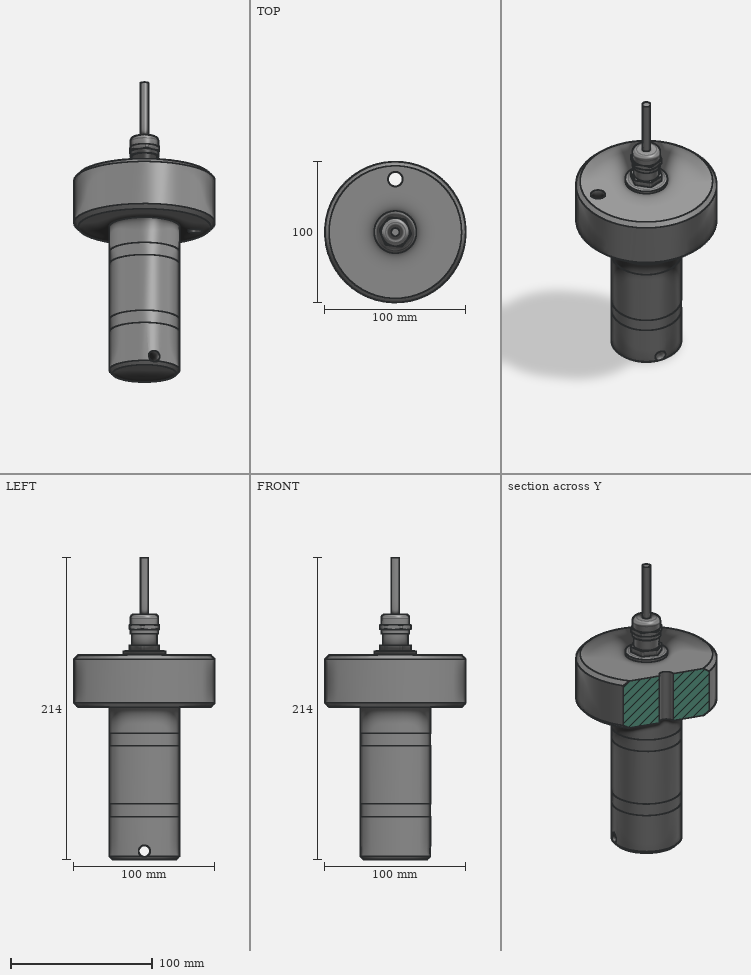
import cadquery as cq
import math


STEM_DIAMETER = 50.0
STEM_LENGTH = 108.0
STEM_CHAMFER = 2.5
FLANGE_DIAMETER = 100.0
FLANGE_THICKNESS = 37.0
FLANGE_CHAMFER = 3.0
FLANGE_TOP = STEM_LENGTH + FLANGE_THICKNESS

MOUNTING_HOLE_DIAMETER = 10.2
MOUNTING_HOLE_OFFSET = 37.5
CROSS_HOLE_DIAMETER = 8.0
CROSS_HOLE_HEIGHT = 6.0

BAND_DIAMETER = 49.8
BAND_WIDTH = 9.0
BAND_BASES = (30.5, 80.5)

HEX_ACROSS_FLATS = 20.0
HEX_ACROSS_CORNERS = HEX_ACROSS_FLATS / math.cos(math.radians(30))
HEX_CORNER_RADIUS = 2.0
HEX_TURN = 52.0

SEAT_DIAMETER = 25.0
SEAT_HEIGHT = 0.5
RIM_DIAMETER = 30.0
RIM_TOP = 3.0
RIM_CHAMFER_WIDTH = 2.0
RIM_CHAMFER_HEIGHT = 0.5
BODY_HEX_HEIGHT = 4.0
NECK_DIAMETER = 18.0
NECK_TOP = 15.0

NUT_BASE = FLANGE_TOP + NECK_TOP
NUT_DIAMETER = 19.98
NUT_HEIGHT = 14.0
NUT_TOP_DIAMETER = 14.16
NUT_EDGE_RADIUS = (NUT_DIAMETER - NUT_TOP_DIAMETER) / 2
NUT_HEX_BASE = NUT_BASE + 3.0
NUT_HEX_HEIGHT = 3.5
HEX_BEVEL_ANGLE = 20.0

CABLE_DIAMETER = 5.8
CABLE_TOP = 214.0


def cylinder(diameter, base, height):
    return cq.Workplane("XY").workplane(offset=base).circle(diameter / 2).extrude(height)


def hexagon(base, height):
    """Hexagonal prism with rounded corners."""
    prism = cq.Workplane("XY").workplane(offset=base).polygon(6, HEX_ACROSS_CORNERS).extrude(height)
    prism = prism.edges("|Z").fillet(HEX_CORNER_RADIUS)
    return prism.rotate((0, 0, 0), (0, 0, 1), HEX_TURN)


def bevel_envelope(base, height):
    """Round disc, coned at both ends, that bevels the corners of a hexagon."""
    flat_radius = HEX_ACROSS_FLATS / 2
    corner_radius = HEX_ACROSS_CORNERS / 2
    drop = (corner_radius - flat_radius) * math.tan(math.radians(HEX_BEVEL_ANGLE))
    return (
        cq.Workplane("XZ")
        .moveTo(0, base)
        .lineTo(flat_radius, base)
        .lineTo(corner_radius, base + drop)
        .lineTo(corner_radius, base + height - drop)
        .lineTo(flat_radius, base + height)
        .lineTo(0, base + height)
        .close()
        .revolve(360, (0, 0, 0), (0, 1, 0))
    )


def band_recess(base):
    """Thin ring of material removed from the stem."""
    return cylinder(STEM_DIAMETER, base, BAND_WIDTH).cut(cylinder(BAND_DIAMETER, base, BAND_WIDTH))


def mounting_hole():
    hole = cylinder(MOUNTING_HOLE_DIAMETER, STEM_LENGTH, FLANGE_THICKNESS)
    return hole.translate((0, MOUNTING_HOLE_OFFSET, 0))


def cross_hole():
    """Hole along X through the lower end of the stem."""
    profile = cq.Workplane("YZ").center(0, CROSS_HOLE_HEIGHT).circle(CROSS_HOLE_DIAMETER / 2)
    return profile.extrude(STEM_DIAMETER, both=True)


def make_housing():
    stem = cylinder(STEM_DIAMETER, 0, STEM_LENGTH).faces("<Z").chamfer(STEM_CHAMFER)
    flange = cylinder(FLANGE_DIAMETER, STEM_LENGTH, FLANGE_THICKNESS)
    flange = flange.faces("<Z or >Z").edges().chamfer(FLANGE_CHAMFER)
    body = stem.union(flange).cut(mounting_hole()).cut(cross_hole())
    for base in BAND_BASES:
        body = body.cut(band_recess(base))
    return body


def make_gland_body():
    seat = cylinder(SEAT_DIAMETER, FLANGE_TOP, RIM_TOP)
    rim = cylinder(RIM_DIAMETER, FLANGE_TOP + SEAT_HEIGHT, RIM_TOP - SEAT_HEIGHT)
    rim = rim.faces(">Z").chamfer(RIM_CHAMFER_HEIGHT, RIM_CHAMFER_WIDTH)
    grip = hexagon(FLANGE_TOP + RIM_TOP, BODY_HEX_HEIGHT)
    neck = cylinder(NECK_DIAMETER, FLANGE_TOP, NECK_TOP)
    return seat.union(rim).union(grip).union(neck)


def make_gland_nut():
    """Domed nut with a bevelled hexagon and a through hole for the cable."""
    dome = cylinder(NUT_DIAMETER, NUT_BASE, NUT_HEIGHT).faces(">Z").edges().fillet(NUT_EDGE_RADIUS)
    grip = hexagon(NUT_HEX_BASE, NUT_HEX_HEIGHT).intersect(bevel_envelope(NUT_HEX_BASE, NUT_HEX_HEIGHT))
    return dome.union(grip).cut(cylinder(CABLE_DIAMETER, NUT_BASE, NUT_HEIGHT))


def make_cable():
    """Cable standing on the neck of the gland body and passing through the nut."""
    return cylinder(CABLE_DIAMETER, NUT_BASE, CABLE_TOP - NUT_BASE)


housing = make_housing()
gland_body = make_gland_body()
gland_nut = make_gland_nut()
cable = make_cable()

result = cq.Compound.makeCompound([
    housing.val(),
    gland_body.val(),
    gland_nut.val(),
    cable.val(),
])